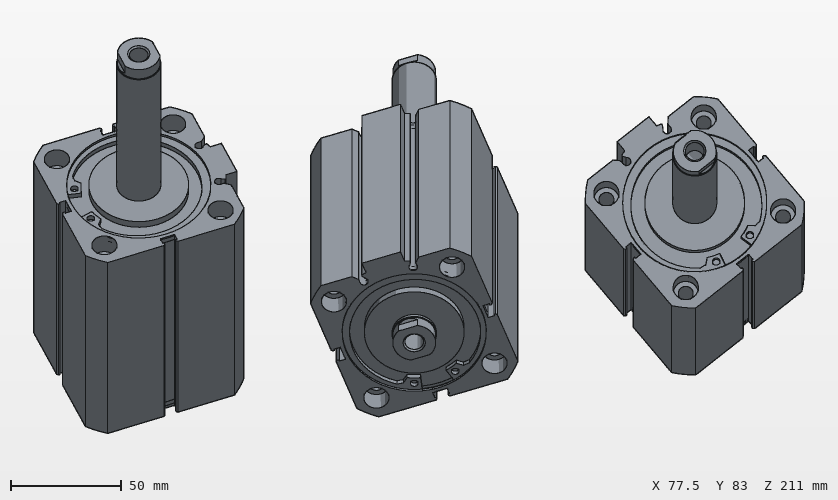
import cadquery as cq
import math


width = 77.5
half_width = width / 2
height = 115.0
corner_radius = 49.5
bore_radius = 65.2 / 2

hole_pitch = 56.8
hole_radius = 3.4
counterbore_radius = 5.7
counterbore_depth = 10.5

slot_depth = 4.5
slot_half_width = 7.0 / 2
mouth_half_width = 2.7
mouth_chamfer = 0.6
lip_thickness = 1.5
slot_floor = half_width - slot_depth

rail_half_width = 9.3
overall_depth = 83.0
rail_height = overall_depth - width
channel_center = 11.8
channel_radius = 2.0
channel_depth = 4.5
channel_mouth = 16.0
channel_lip = 11.5
channel_lip_top = 0.74
channel_lip_bottom = 1.37
channel_neck_x = 10.8
channel_shoulder_depth = 2.5

ring_thickness = 2.5
ring_recess = 1.3
groove_clearance = 0.25
groove_radius = slot_floor - groove_clearance
ring_opening_radius = 59.3 / 2
ring_opening_shift = 1.15
lug_radius = 26.2
lug_start_angle = 13.5
lug_end_angle = 26.8
lug_heel_radius = 29.3
lug_heel_angle = 29.5
lug_root_radius = 30.8
lug_root_angle = 35.4
lug_hole_radius = 1.7
lug_hole_offset = 29.1
lug_hole_angle = 19.7

cover_recess = ring_recess + ring_thickness
cover_thickness = 12.7
boss_radius = 22.5

rod_radius = 20.0 / 2
rod_length = 211
upper_projection = 88.0
rod_top = height + upper_projection
rod_bottom = rod_top - rod_length
tip_radius = 9.7
tip_length = 6.1
flat_half_width = 17.0 / 2
flat_length = 4.6
thread_radius = 4.2
thread_chamfer = 0.78
thread_depth = 14.8
drill_point_angle = 118


def cylinder(radius, bottom, length):
    return cq.Workplane("XY").workplane(offset=bottom).circle(radius).extrude(length)


def polar(radius, angle):
    """Point at an angle in degrees from -Y, turning towards +X."""
    turn = math.radians(angle)
    return radius * math.sin(turn), -radius * math.cos(turn)


def flip_end(solid, mid_height):
    """The same shape at the opposite end of the Z axis."""
    return solid.mirror("XY", (0, 0, mid_height))


def make_slot():
    """Slot along Z in the -Y side."""
    face = -half_width
    right_side = [
        (mouth_half_width + mouth_chamfer, face),
        (mouth_half_width, face + mouth_chamfer),
        (mouth_half_width, face + lip_thickness),
        (slot_half_width, face + lip_thickness),
        (slot_half_width, -slot_floor),
    ]
    left_side = [(-x, y) for x, y in reversed(right_side)]
    return cq.Workplane("XY").polyline(right_side + left_side).close().extrude(height)


def make_rail_channel():
    """Channel on the +X side of the rail, with a round floor."""
    face = half_width
    floor_y = face - channel_depth
    neck_rise = math.sqrt(channel_radius**2 - (channel_center - channel_neck_x)**2)
    return (
        cq.Workplane("XY")
        .moveTo(rail_half_width, face)
        .lineTo(channel_lip, face - channel_lip_top)
        .lineTo(channel_lip, face - channel_lip_bottom)
        .lineTo(channel_neck_x, floor_y + neck_rise)
        .threePointArc(
            (channel_center, floor_y - channel_radius),
            (channel_center + channel_radius, floor_y),
        )
        .lineTo(channel_center + channel_radius, face - channel_shoulder_depth)
        .lineTo(channel_mouth, face)
        .close()
        .extrude(height)
    )


def make_housing():
    block = cq.Workplane("XY").rect(width, width).extrude(height)
    block = block.intersect(cylinder(corner_radius, 0, height))
    rail = (
        cq.Workplane("XY")
        .center(0, half_width)
        .rect(2 * rail_half_width, 2 * rail_height)
        .extrude(height)
    )
    body = block.union(rail)

    channel = make_rail_channel()
    body = body.cut(channel).cut(channel.mirror("YZ"))

    slot = make_slot()
    for angle in (-90, 0, 90):
        body = body.cut(slot.rotate((0, 0, 0), (0, 0, 1), angle))

    body = body.cut(cylinder(bore_radius, 0, height))
    groove = cylinder(groove_radius, height - cover_recess, ring_thickness)
    body = body.cut(groove).cut(flip_end(groove, height / 2))

    for side in (">Z", "<Z"):
        body = (
            body.faces(side)
            .workplane(origin=(0, 0, 0))
            .rect(hole_pitch, hole_pitch, forConstruction=True)
            .vertices()
            .cboreHole(2 * hole_radius, 2 * counterbore_radius, counterbore_depth)
        )
    return body


def make_lug():
    """Plier lug on the +X side of the ring's gap."""
    middle_angle = (lug_start_angle + lug_end_angle) / 2
    return (
        cq.Workplane("XY")
        .moveTo(*polar(lug_radius, lug_start_angle))
        .threePointArc(polar(lug_radius, middle_angle), polar(lug_radius, lug_end_angle))
        .lineTo(*polar(lug_heel_radius, lug_heel_angle))
        .lineTo(*polar(lug_root_radius, lug_root_angle))
        .lineTo(*polar(bore_radius, lug_root_angle))
        .lineTo(*polar(bore_radius, lug_start_angle))
        .close()
        .extrude(ring_thickness)
    )


def make_ring():
    """Upper retaining ring, open towards -Y."""
    opening = (
        cq.Workplane("XY")
        .center(0, -ring_opening_shift)
        .circle(ring_opening_radius)
        .extrude(ring_thickness)
    )
    ring = cylinder(groove_radius, 0, ring_thickness).cut(opening)

    gap_reach = 2 * groove_radius
    gap = (
        cq.Workplane("XY")
        .polyline([(0, 0), polar(gap_reach, -lug_start_angle), polar(gap_reach, lug_start_angle)])
        .close()
        .extrude(ring_thickness)
    )
    ring = ring.cut(gap)

    lug = make_lug()
    ring = ring.union(lug).union(lug.mirror("YZ"))
    for angle in (-lug_hole_angle, lug_hole_angle):
        hole = cylinder(lug_hole_radius, 0, ring_thickness)
        ring = ring.cut(hole.translate((*polar(lug_hole_offset, angle), 0)))
    return ring.translate((0, 0, height - cover_recess))


def make_cover():
    """Upper end cover, whose boss ends flush with the housing."""
    cover_top = height - cover_recess
    disc = cylinder(bore_radius, cover_top - cover_thickness, cover_thickness)
    boss = cylinder(boss_radius, cover_top, cover_recess)
    rod_hole = cylinder(rod_radius, 0, height)
    return disc.union(boss).cut(rod_hole)


def make_tip_waste():
    """Material removed at the rod's upper end to form the wrench flats, with 45 degree run-outs."""
    flat_bottom = rod_top - flat_length
    runout = rod_radius - flat_half_width
    flat = (
        cq.Workplane("YZ")
        .polyline([
            (flat_half_width, rod_top),
            (flat_half_width, flat_bottom),
            (rod_radius, flat_bottom - runout),
            (rod_radius, rod_top),
        ])
        .close()
        .extrude(rod_radius, both=True)
    )
    return flat.union(flat.mirror("XZ"))


def make_thread_hole():
    """Blind hole in the rod's upper end, turned about the rod axis."""
    hole_bottom = rod_top - thread_depth
    point_depth = thread_radius / math.tan(math.radians(drill_point_angle / 2))
    return (
        cq.Workplane("XZ")
        .polyline([
            (0, rod_top),
            (thread_radius + thread_chamfer, rod_top),
            (thread_radius, rod_top - thread_chamfer),
            (thread_radius, hole_bottom),
            (0, hole_bottom - point_depth),
        ])
        .close()
        .revolve(360, (0, 0, 0), (0, 1, 0))
    )


def make_rod():
    shoulder_chamfer = rod_radius - tip_radius
    shank_length = rod_length - 2 * tip_length
    shank = cylinder(rod_radius, rod_bottom + tip_length, shank_length)
    shank = shank.faces("<Z or >Z").edges().chamfer(shoulder_chamfer)
    rod = shank.union(cylinder(tip_radius, rod_bottom, rod_length))

    rod_middle = (rod_top + rod_bottom) / 2
    for waste in (make_tip_waste(), make_thread_hole()):
        rod = rod.cut(waste).cut(flip_end(waste, rod_middle))
    return rod


housing = make_housing()
rod = make_rod()
upper_ring = make_ring()
upper_cover = make_cover()
rings = [upper_ring, flip_end(upper_ring, height / 2)]
covers = [upper_cover, flip_end(upper_cover, height / 2)]

bodies = [housing, rod, *covers, *rings]
result = cq.Compound.makeCompound([body.val() for body in bodies])